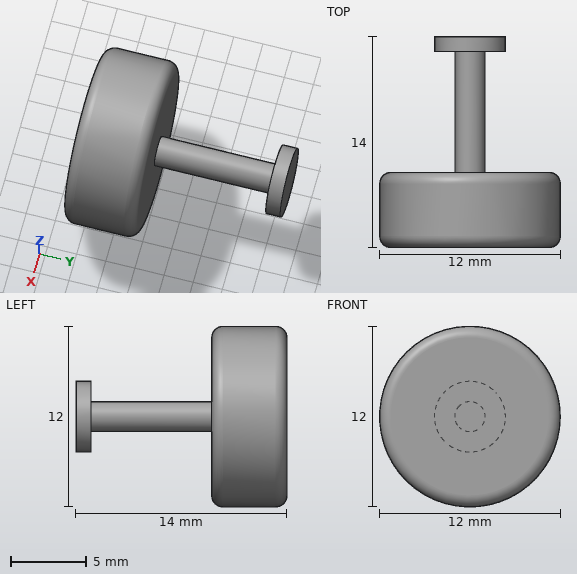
import cadquery as cq

total_length = 14.0
head_diameter = 12.0
head_thickness = 5.0
head_edge_radius = 0.75
stem_diameter = 2.0
flange_diameter = 4.7
flange_thickness = 1.0

stem_length = total_length - head_thickness - flange_thickness


def disc(start_y, diameter, length):
    """Cylinder along +Y whose front face lies at start_y."""
    plane = cq.Plane(origin=(0, start_y, 0), xDir=(1, 0, 0), normal=(0, 1, 0))
    return cq.Workplane(plane).circle(diameter / 2).extrude(length)


head = disc(0, head_diameter, head_thickness).edges("%CIRCLE").fillet(head_edge_radius)

stem = disc(head_thickness, stem_diameter, stem_length)

flange = disc(head_thickness + stem_length, flange_diameter, flange_thickness)

result = head.union(stem).union(flange)